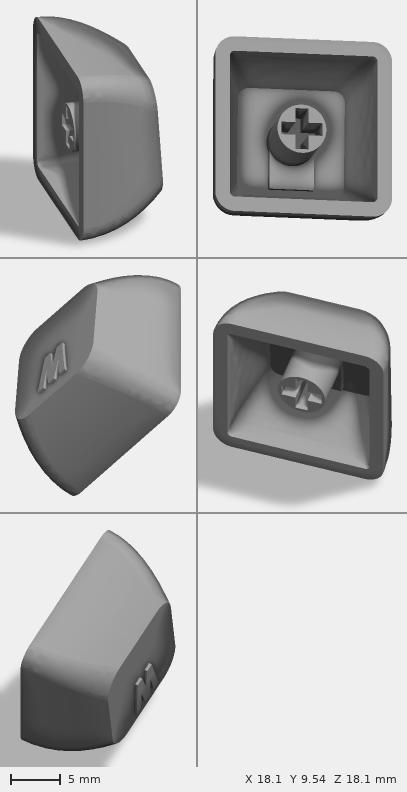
import cadquery as cq
import math

base_size = 18.1
base_corner_radius = 2.0
roof_size = 12.65
roof_corner_radius = 2.65
roof_height = 8.87
roof_tilt = 4.0
wall = 1.5
section_count = 5

ceiling_size = 10.95
cavity_base_size = base_size - 2 * wall
cavity_base_corner_radius = base_corner_radius - wall
ceiling_corner_radius = roof_corner_radius - wall
ceiling_height = roof_height - wall / math.cos(math.radians(roof_tilt))

stem_diameter = 5.0
stem_start = 1.0
cross_span = 4.22
cross_arm = 1.3
cross_depth = 4.5

letter_width = 4.33
letter_height = 4.55
peak_offset = 0.95
leg_width = 0.9
crotch_share = 0.53
letter_center = -2.34
letter_rise = 0.35
plate_width = 4.55
plate_height = 4.8
plate_thickness = 0.67


def tilted_plane(height, tilt):
    """Plane across the cap at this height, with local X along -X, tilted about the X axis."""
    angle = math.radians(tilt)
    return cq.Plane(
        origin=(0, height, 0),
        xDir=(-1, 0, 0),
        normal=(0, math.cos(angle), math.sin(angle)),
    )


def rounded_square(size, radius):
    """Sketch of a square with rounded corners."""
    return cq.Sketch().rect(size, size).vertices().fillet(radius).reset()


def domed_block(start_size, start_radius, end_size, end_radius, end_height):
    """Block whose sides leave the base at a right angle and curve inward along a parabola."""
    sections = []
    for index in range(section_count):
        level = index / (section_count - 1)
        size = start_size + (end_size - start_size) * level**2
        radius = start_radius + (end_radius - start_radius) * level**2
        tilt = math.degrees(math.atan(level * math.tan(math.radians(roof_tilt))))
        location = tilted_plane(level * end_height, tilt).location
        sections.append(rounded_square(size, radius).faces().val().outerWire().moved(location))
    return cq.Workplane(cq.Solid.makeLoft(sections))


def make_letter(bottom, top):
    """Letter M standing across the roof, between two distances from the roof along its normal."""
    half_width = letter_width / 2
    half_height = letter_height / 2
    half_leg = leg_width / 2
    foot_crotch = -half_height + crotch_share * letter_height
    top_crotch = half_height - crotch_share * letter_height
    right_side = [
        (half_leg, -half_height),
        (peak_offset, foot_crotch),
        (half_width - leg_width, -half_height),
        (half_width, -half_height),
        (peak_offset + half_leg, half_height),
        (peak_offset - half_leg, half_height),
    ]
    left_side = [(-x, y) for x, y in reversed(right_side)]
    outline = right_side + [(0, top_crotch)] + left_side
    return (
        cq.Workplane(tilted_plane(roof_height, roof_tilt))
        .workplane(offset=bottom)
        .center(0, letter_center)
        .polyline(outline)
        .close()
        .extrude(top - bottom)
    )


def make_badge():
    """Backing plate with the letter on it."""
    plate = (
        cq.Workplane(tilted_plane(roof_height, roof_tilt))
        .workplane(offset=-wall - plate_thickness)
        .center(0, letter_center)
        .rect(plate_width, plate_height)
        .extrude(plate_thickness)
    )
    return plate.union(make_letter(-wall, letter_rise))


def make_cavity():
    """Hollow of the cap."""
    return domed_block(
        cavity_base_size, cavity_base_corner_radius, ceiling_size, ceiling_corner_radius, ceiling_height
    )


def make_stem(cavity):
    """Round stem from its free end to the ceiling, with the cross socket."""
    end_plane = cq.Plane(origin=(0, stem_start, 0), xDir=(-1, 0, 0), normal=(0, 1, 0))
    post = cq.Workplane(end_plane).circle(stem_diameter / 2).extrude(roof_height)
    flat_arm = cq.Workplane(end_plane).rect(cross_span, cross_arm).extrude(cross_depth)
    upright_arm = cq.Workplane(end_plane).rect(cross_arm, cross_span).extrude(cross_depth)
    socket = flat_arm.union(upright_arm)
    return post.intersect(cavity).cut(socket)


def make_cap(badge):
    """Hollow cap with its stem and openings that fit the badge."""
    outside = domed_block(base_size, base_corner_radius, roof_size, roof_corner_radius, roof_height)
    cavity = make_cavity()
    return outside.cut(cavity).union(make_stem(cavity)).cut(badge)


badge = make_badge()
cap = make_cap(badge)
result = cq.Compound.makeCompound([cap.val(), badge.val()])